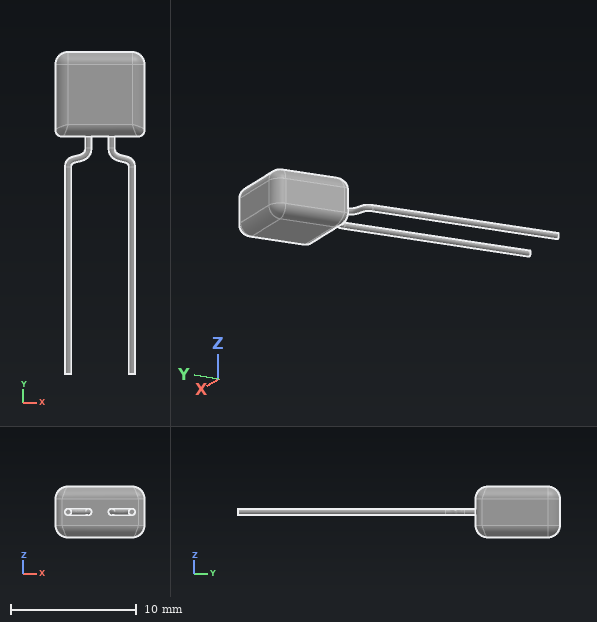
import cadquery as cq
import math

total_length = 25.65

housing_width = 7.1
housing_depth = 6.75
housing_height = 4.08
main_radius = 1.0
front_side_radius = 0.5

lead_diameter = 0.5
root_spacing = 1.85
tip_spacing = 5.08
root_length = 0.9
bend_length = 1.49
bend_middle_drop = 0.85
bend_slope = math.radians(13)

lead_face_y = total_length - housing_depth


def make_housing():
    """Block with rounded edges, its front face at lead_face_y."""
    block = (
        cq.Workplane("XY")
        .box(housing_width, housing_depth, housing_height)
        .translate((0, lead_face_y + housing_depth / 2, 0))
    )
    solid = block.val()
    front_side_edges = block.faces("<Y").edges("|Z").vals()
    rounded = solid.fillet(front_side_radius, front_side_edges)
    outline_edges = cq.Workplane(rounded).faces("<Z or >Z").edges().vals()
    rear_side_edges = cq.Workplane(rounded).faces(">Y").edges("|Z").vals()
    return cq.Workplane(rounded.fillet(main_radius, outline_edges + rear_side_edges))


def make_lead(side):
    """Round wire with an outward S-bend; side is -1 for left and 1 for right."""
    root_x = side * root_spacing / 2
    tip_x = side * tip_spacing / 2
    bend_start_y = lead_face_y - root_length
    bend_end_y = bend_start_y - bend_length
    middle = ((root_x + tip_x) / 2, bend_start_y - bend_middle_drop)

    along_lead = (0, -1)
    along_slope = (side * math.cos(bend_slope), -math.sin(bend_slope))
    path = (
        cq.Workplane("XY")
        .moveTo(root_x, lead_face_y)
        .lineTo(root_x, bend_start_y)
        .spline(
            [middle, (tip_x, bend_end_y)],
            tangents=[along_lead, along_slope, along_lead],
            includeCurrent=True,
        )
        .lineTo(tip_x, 0)
    )
    section_plane = cq.Plane(
        origin=(root_x, lead_face_y, 0), xDir=(0, 0, 1), normal=(0, -1, 0)
    )
    return cq.Workplane(section_plane).circle(lead_diameter / 2).sweep(path)


housing = make_housing()
leads = [make_lead(side) for side in (-1, 1)]

result = cq.Compound.makeCompound([housing.val(), *[lead.val() for lead in leads]])